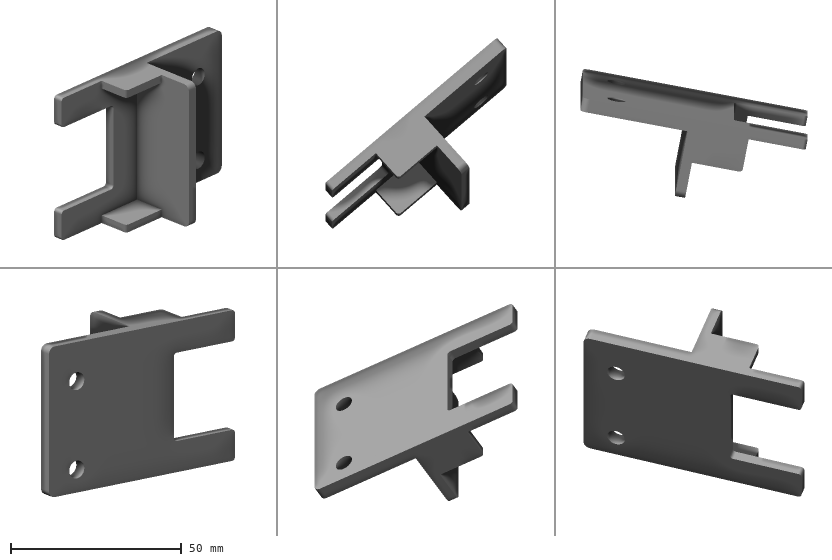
import cadquery as cq

width = 24.0
length = 67.0
height = 46.0

front_thickness = 3.0
rear_thickness = 4.0
large_radius = 2.0
small_radius = 1.0

slot_depth = 22.0
slot_height = 27.0

hole_diameter = 5.4
hole_spacing = 27.0
hole_rear_inset = 10.0
hole_drop = 2.5

flange_front = 32.0
flange_thickness = 3.0
flange_rear = flange_front + flange_thickness
rib_front = 17.0
rib_reach = 13.0
rib_thickness = 2.5


def box(x_range, y_range, z_range):
    """Box spanning the given (low, high) limits on each axis."""
    (x0, x1), (y0, y1), (z0, z1) = x_range, y_range, z_range
    return cq.Workplane("XY").box(x1 - x0, y1 - y0, z1 - z0, centered=False).translate((x0, y0, z0))


full_height = (-height / 2, height / 2)


def make_plate():
    """Stepped plate with a slotted front end, rounded corners and two holes."""
    plate = box((0, front_thickness), (0, length), full_height)
    plate = plate.edges("|X and <Y").fillet(small_radius)
    plate = plate.union(box((0, rear_thickness), (flange_front, length), full_height))
    plate = plate.edges("|X and >Y").fillet(large_radius)

    slot = box((0, rear_thickness), (-slot_depth, slot_depth), (-slot_height / 2, slot_height / 2))
    slot = slot.edges("|X and >Y").fillet(small_radius)
    plate = plate.cut(slot)

    plate = plate.edges(
        cq.selectors.BoxSelector(
            (0, -small_radius, -slot_height / 2 - small_radius),
            (front_thickness, small_radius, slot_height / 2 + small_radius),
        )
    ).edges("|X").fillet(small_radius)

    holes = (
        cq.Workplane("YZ")
        .center(length - hole_rear_inset, -hole_drop)
        .pushPoints([(0, -hole_spacing / 2), (0, hole_spacing / 2)])
        .circle(hole_diameter / 2)
        .extrude(rear_thickness)
    )
    return plate.cut(holes)


def make_flange():
    """Full-height wall standing on the plate, with rounded outer corners."""
    flange = box((0, width), (flange_front, flange_rear), full_height)
    return flange.edges("|Y and >X").fillet(large_radius)


def make_rib(z_low):
    """Rib in front of the flange with its free corner rounded."""
    rib = box((0, rib_reach), (rib_front, flange_front), (z_low, z_low + rib_thickness))
    return rib.edges("|Z and >X and <Y").fillet(small_radius)


result = make_plate().union(make_flange())
for rib_z_low in (-height / 2, height / 2 - rib_thickness):
    result = result.union(make_rib(rib_z_low))